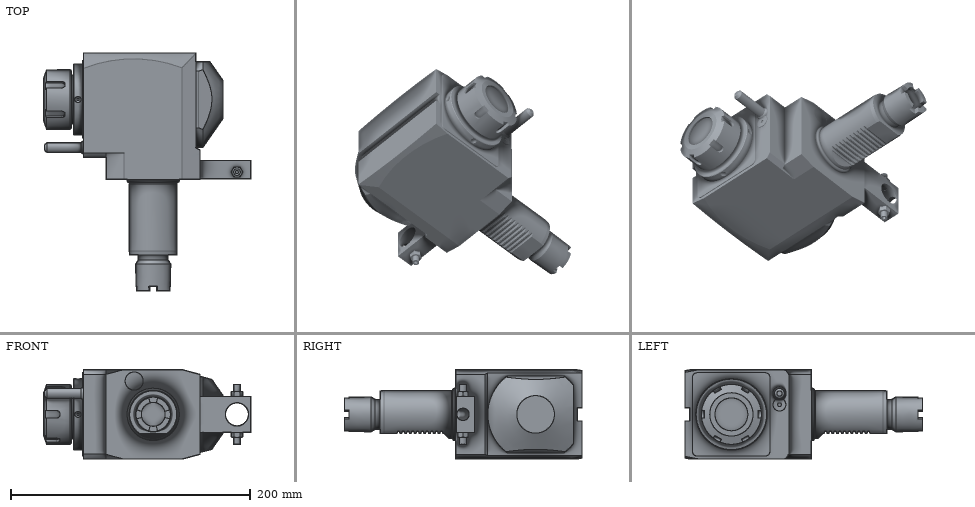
import cadquery as cq
import math


HEIGHT = 75.0
HALF_HEIGHT = HEIGHT / 2
LEFT_X = -58.3
HULL_LEFT_X = -39.5
HULL_RIGHT_X = 39.2
BACK_RIGHT_X = 35.6
BACK_Y = 105.9
PLATE_FRONT_Y = 18.5
STEP_LOW_Y = 24.7
STEP_HIGH_Y = 26.5
SIDE_SLOPE = math.tan(math.radians(15))
SIDE_CHAMFER = 15.1
PLATE_CHAMFER_Y = 3.5
PLATE_CHAMFER_Z = 4.4
CROWN_X = -16.5
CROWN_Y = -12.5
CROWN_RADIUS = 113.5
CROWN_SLOPE = 0.2
NOTCH_DEPTH = 4
NOTCH_WIDTH = 10.7
PLUG_X = -16
PLUG_Z = 27.9
PLUG_RADIUS = 7.5
MARK_DEPTH = 0.2

SPINDLE_Y = 66.9
PAD_X = -59.1
PAD_HALF = 34.8
PAD_LOW_Y = 34.6
PAD_HIGH_Y = 99.5
PAD_CORNER = 4
FLANGE_X = -66.5
FLANGE_RADIUS = 29.8
FLANGE_EDGE = 0.4
NECK_RADIUS = 20.7
NUT_BACK_X = -68.3
NUT_FRONT_X = -91.5
NUT_RADIUS = 25.0
NUT_BACK_CHAMFER = 1.2
NUT_FACE_RADIUS = 18.1
NUT_CONE_LENGTH = 2.4
NUT_BORE_RADIUS = 13.7
NUT_BORE_DEPTH = 1.5
NUT_SLOTS = 6
NUT_SLOT_WIDTH = 6.4
NUT_SLOT_END_X = -77.8
NUT_LONG_SLOT_END_X = -73.6
NUT_FIRST_SLOT_ANGLE = 30
NUT_LONG_SLOT_ANGLES = (30, 330)
NUT_SLOT_FLOOR = 22.3
FLANGE_SCREWS = 4
SCREW_X = -62.9
SCREW_RADIUS = 2.5
SCREW_TIP_RADIUS = 1.0
SCREW_DEPTH = 1.5

NOZZLE_Y = 26.7
NOZZLE_Z = 17.5
NOZZLE_RADIUS = 4.2
NOZZLE_TIP_X = -91.0
NOZZLE_TIP_RADIUS = 2.2
BALL_RADIUS = 6.2
BALL_INSET = 2.5
COVER_Z = 8.2
COVER_RADIUS = 5.4
COVER_HEIGHT = 0.5
COVER_SOCKET = 3.5

CAP_RADIUS = 40.0
CAP_FACE_RADIUS = 15.7
CAP_EDGE_X = 41.5
CAP_FACE_X = 58.5
CAP_TOP_Y = 98.5
CAP_HALF_HEIGHT = 32.2
CAP_SLOPE_X = 37.8

COLLAR_RADIUS = 21.9
COLLAR_RIM = 0.8
COLLAR_LENGTH = 2.5
RELIEF_RADIUS = 19.9
RELIEF_END_Y = -3.5
SHANK_RADIUS = 20.0
SHANK_BAND_Y = -59.9
SHANK_END_Y = -63.0
SHANK_END_RADIUS = 19.7
STEM_RADIUS = 12.5
FLARE_Y = -67.3
HEAD_Y = -70.8
HEAD_RADIUS = 14.7
HEAD_TIP_RADIUS = 14.3
TIP_Y = -93.1
HEAD_BORE_RADIUS = 10
HEAD_BORE_DEPTH = 4
HEAD_SLOT_DEPTH = 3.8
HEAD_SLOTS = 4
HEAD_SLOT_ANGLE = 30
FLAT_Z = -16.1
FLAT_START_Y = -5.5
TEETH_ROOT_Z = -14.1
FIRST_ROOT_Y = -12
ROOT_PITCH = 4
ROOTS = 10
ROOT_FLOOR = 1.2
ROOT_MOUTH = 2.8

ARM_END_X = 81.5
ARM_LOW_Y = 0.5
ARM_HIGH_Y = 16
ARM_HALF_HEIGHT = 15.1
ARM_HOLE_X = 70.0
ARM_HOLE_RADIUS = 9.5
END_HOLE_RADIUS = 5.2
STUD_Y = 6.2
STUD_RADIUS = 2.8
STUD_TOP_Z = 25.0
STUD_SOCKET = 2.8
STUD_SOCKET_DEPTH = 3.0
STUD_RECESS_RADIUS = 2.4
STUD_RECESS_DEPTH = 0.4
STUD_NUT_SIZE = 9.8
STUD_NUT_TOP_Z = 19.3
STUD_NUT_CHAMFER = 0.5


def both_sides(solid):
    """The solid together with its mirror image below the XY plane."""
    return solid.union(solid.mirror("XY"))


def prism_x(points, start_x, end_x):
    """Extrude a (Y, Z) outline along X."""
    return cq.Workplane("YZ", origin=(start_x, 0, 0)).polyline(points).close().extrude(end_x - start_x)


def prism_y(points, start_y, end_y):
    """Extrude an (X, Z) outline along Y."""
    return cq.Workplane("XZ", origin=(0, start_y, 0)).polyline(points).close().extrude(start_y - end_y)


def disc_x(radius, start_x, end_x, y, z=0):
    """Cylinder along X."""
    return cq.Workplane("YZ", origin=(start_x, y, z)).circle(radius).extrude(end_x - start_x)


def turned_x(points, y, z=0):
    """Revolve an (X, radius) outline about an axis parallel to X."""
    return cq.Workplane("XY", origin=(0, y, z)).polyline(points).close().revolve(360, (0, 0, 0), (1, 0, 0))


def housing():
    outline = [
        (LEFT_X, BACK_Y), (LEFT_X, PLATE_FRONT_Y), (HULL_LEFT_X, PLATE_FRONT_Y), (HULL_LEFT_X, 0),
        (HULL_RIGHT_X, 0), (HULL_RIGHT_X, STEP_LOW_Y), (BACK_RIGHT_X, STEP_HIGH_Y), (BACK_RIGHT_X, BACK_Y),
    ]
    body = cq.Workplane("XY").polyline(outline).close().extrude(HALF_HEIGHT, both=True)

    crown_reach = 2 * CROWN_RADIUS
    crown_edge = HALF_HEIGHT - CROWN_SLOPE * (crown_reach - CROWN_RADIUS)
    crown_profile = [
        (0, 0), (crown_reach, 0), (crown_reach, crown_edge), (CROWN_RADIUS, HALF_HEIGHT), (0, HALF_HEIGHT),
    ]
    crown = (
        cq.Workplane("XZ", origin=(CROWN_X, CROWN_Y, 0))
        .polyline(crown_profile).close().revolve(360, (0, 0, 0), (0, 1, 0))
    )
    body = body.intersect(both_sides(crown))

    side_drop = SIDE_CHAMFER * SIDE_SLOPE
    plate_chamfer_end = PLATE_FRONT_Y + PLATE_CHAMFER_Y
    right_side = [
        (HULL_RIGHT_X - SIDE_CHAMFER, HALF_HEIGHT), (HULL_RIGHT_X, HALF_HEIGHT),
        (HULL_RIGHT_X, HALF_HEIGHT - side_drop),
    ]
    left_side = [
        (HULL_LEFT_X + SIDE_CHAMFER, HALF_HEIGHT), (HULL_LEFT_X, HALF_HEIGHT),
        (HULL_LEFT_X, HALF_HEIGHT - side_drop),
    ]
    body = body.cut(both_sides(prism_y(right_side, 0, BACK_Y)))
    body = body.cut(both_sides(prism_y(left_side, 0, plate_chamfer_end)))

    plate_edge = [
        (PLATE_FRONT_Y, HALF_HEIGHT), (plate_chamfer_end, HALF_HEIGHT),
        (PLATE_FRONT_Y, HALF_HEIGHT - PLATE_CHAMFER_Z),
    ]
    body = body.cut(both_sides(prism_x(plate_edge, LEFT_X, HULL_LEFT_X)))

    length = HULL_RIGHT_X - LEFT_X
    notch = cq.Workplane("XY").box(length, NOTCH_DEPTH, NOTCH_WIDTH, centered=(False, False, True))
    body = body.cut(notch.translate((LEFT_X, BACK_Y - NOTCH_DEPTH, 0)))
    plug = cq.Workplane("XZ", origin=(PLUG_X, MARK_DEPTH, PLUG_Z)).circle(PLUG_RADIUS).extrude(MARK_DEPTH)
    return body.cut(plug)


def nut_slot(end_x):
    """Slot on the upper side of a nut whose axis is the X axis."""
    center_x = end_x - NUT_SLOT_WIDTH / 2
    length = 2 * (center_x - NUT_FRONT_X) + NUT_SLOT_WIDTH
    return (
        cq.Workplane("XY", origin=(NUT_FRONT_X, 0, NUT_SLOT_FLOOR))
        .slot2D(length, NUT_SLOT_WIDTH).extrude(NUT_RADIUS - NUT_SLOT_FLOOR)
    )


def spindle():
    pad = (
        cq.Workplane("XY").box(LEFT_X - PAD_X, PAD_HIGH_Y - PAD_LOW_Y, 2 * PAD_HALF)
        .edges("|X").fillet(PAD_CORNER)
        .translate(((PAD_X + LEFT_X) / 2, (PAD_LOW_Y + PAD_HIGH_Y) / 2, 0))
    )
    nut_cone_x = NUT_FRONT_X + NUT_CONE_LENGTH
    bore_x = NUT_FRONT_X + NUT_BORE_DEPTH
    turned = turned_x([
        (PAD_X, 0), (PAD_X, FLANGE_RADIUS), (FLANGE_X + FLANGE_EDGE, FLANGE_RADIUS),
        (FLANGE_X, FLANGE_RADIUS - FLANGE_EDGE), (FLANGE_X, NECK_RADIUS), (NUT_BACK_X, NECK_RADIUS),
        (NUT_BACK_X, NUT_RADIUS - NUT_BACK_CHAMFER), (NUT_BACK_X - NUT_BACK_CHAMFER, NUT_RADIUS),
        (nut_cone_x, NUT_RADIUS), (NUT_FRONT_X, NUT_FACE_RADIUS), (NUT_FRONT_X, NUT_BORE_RADIUS),
        (bore_x, NUT_BORE_RADIUS), (bore_x, 0),
    ], SPINDLE_Y)

    for i in range(NUT_SLOTS):
        angle = NUT_FIRST_SLOT_ANGLE + i * 360 / NUT_SLOTS
        is_long = angle in NUT_LONG_SLOT_ANGLES
        slot = nut_slot(NUT_LONG_SLOT_END_X if is_long else NUT_SLOT_END_X)
        turned = turned.cut(slot.rotate((0, 0, 0), (1, 0, 0), angle).translate((0, SPINDLE_Y, 0)))

    screw = cq.Workplane(
        cq.Solid.makeCone(
            SCREW_TIP_RADIUS, SCREW_RADIUS, SCREW_DEPTH, cq.Vector(SCREW_X, 0, FLANGE_RADIUS - SCREW_DEPTH)
        )
    )
    for i in range(FLANGE_SCREWS):
        angle = i * 360 / FLANGE_SCREWS
        turned = turned.cut(screw.rotate((0, 0, 0), (1, 0, 0), angle).translate((0, SPINDLE_Y, 0)))
    return pad.union(turned)


def nozzle():
    cone_length = NOZZLE_RADIUS - NOZZLE_TIP_RADIUS
    tube = turned_x([
        (LEFT_X, 0), (LEFT_X, NOZZLE_RADIUS), (NOZZLE_TIP_X + cone_length, NOZZLE_RADIUS),
        (NOZZLE_TIP_X, NOZZLE_TIP_RADIUS), (NOZZLE_TIP_X, 0),
    ], NOZZLE_Y, NOZZLE_Z)
    ball = cq.Workplane("XY").sphere(BALL_RADIUS).translate((LEFT_X + BALL_INSET, NOZZLE_Y, NOZZLE_Z))
    return tube.union(ball)


def cover_screw():
    head_x = LEFT_X - COVER_HEIGHT
    head = disc_x(COVER_RADIUS, head_x, LEFT_X, NOZZLE_Y, COVER_Z)
    socket = (
        cq.Workplane("YZ", origin=(head_x, NOZZLE_Y, COVER_Z))
        .polygon(6, COVER_SOCKET).extrude(COVER_HEIGHT)
    )
    return head.cut(socket)


def rear_cap():
    cap = turned_x([
        (BACK_RIGHT_X, 0), (BACK_RIGHT_X, CAP_RADIUS), (CAP_EDGE_X, CAP_RADIUS),
        (CAP_FACE_X, CAP_FACE_RADIUS), (CAP_FACE_X, 0),
    ], SPINDLE_Y)
    face_half_height = CAP_HALF_HEIGHT - (CAP_FACE_X - CAP_SLOPE_X) * SIDE_SLOPE
    upper = [(BACK_RIGHT_X, CAP_HALF_HEIGHT), (CAP_SLOPE_X, CAP_HALF_HEIGHT), (CAP_FACE_X, face_half_height)]
    lower = [(x, -z) for x, z in reversed(upper)]
    return cap.intersect(prism_y(upper + lower, 0, CAP_TOP_Y))


def shank():
    bore_y = TIP_Y + HEAD_BORE_DEPTH
    body = (
        cq.Workplane("XY").lineTo(COLLAR_RADIUS, 0).lineTo(COLLAR_RADIUS, -COLLAR_RIM)
        .tangentArcPoint((RELIEF_RADIUS, -COLLAR_LENGTH), relative=False)
        .lineTo(RELIEF_RADIUS, RELIEF_END_Y).lineTo(SHANK_RADIUS, RELIEF_END_Y)
        .lineTo(SHANK_RADIUS, SHANK_BAND_Y).lineTo(SHANK_END_RADIUS, SHANK_END_Y)
        .lineTo(STEM_RADIUS, SHANK_END_Y).lineTo(STEM_RADIUS, FLARE_Y)
        .lineTo(HEAD_RADIUS, HEAD_Y).lineTo(HEAD_TIP_RADIUS, TIP_Y)
        .lineTo(HEAD_BORE_RADIUS, TIP_Y).lineTo(HEAD_BORE_RADIUS, bore_y).lineTo(0, bore_y)
        .close().revolve(360, (0, 0, 0), (0, 1, 0))
    )

    ramp_end_y = FLAT_START_Y - (SHANK_RADIUS + FLAT_Z)
    flat = [
        (FLAT_START_Y, -SHANK_RADIUS), (ramp_end_y, FLAT_Z),
        (SHANK_END_Y, FLAT_Z), (SHANK_END_Y, -SHANK_RADIUS),
    ]
    body = body.cut(prism_x(flat, -SHANK_RADIUS, SHANK_RADIUS))
    for i in range(ROOTS):
        y = FIRST_ROOT_Y - i * ROOT_PITCH
        groove = [
            (y - ROOT_FLOOR / 2, TEETH_ROOT_Z), (y + ROOT_FLOOR / 2, TEETH_ROOT_Z),
            (y + ROOT_MOUTH / 2, FLAT_Z), (y - ROOT_MOUTH / 2, FLAT_Z),
        ]
        body = body.cut(prism_x(groove, -SHANK_RADIUS, SHANK_RADIUS))

    half_width = 2 * HEAD_RADIUS * math.tan(math.radians(HEAD_SLOT_ANGLE / 2))
    sector = [(0, 0), (2 * HEAD_RADIUS, half_width), (2 * HEAD_RADIUS, -half_width)]
    slot = prism_y(sector, TIP_Y, TIP_Y + HEAD_SLOT_DEPTH)
    for i in range(HEAD_SLOTS):
        body = body.cut(slot.rotate((0, 0, 0), (0, 1, 0), i * 360 / HEAD_SLOTS))
    return body


def stud_and_nut():
    nut_height = STUD_NUT_TOP_Z - ARM_HALF_HEIGHT
    base = cq.Workplane("XY", origin=(ARM_HOLE_X, STUD_Y, ARM_HALF_HEIGHT))
    rounding = base.circle(STUD_NUT_SIZE / 2).extrude(nut_height).faces(">Z").chamfer(STUD_NUT_CHAMFER)
    nut = base.polygon(6, STUD_NUT_SIZE).extrude(nut_height).intersect(rounding)
    stud = base.circle(STUD_RADIUS).extrude(STUD_TOP_Z - ARM_HALF_HEIGHT)
    socket = (
        cq.Workplane("XY", origin=(ARM_HOLE_X, STUD_Y, STUD_TOP_Z - STUD_SOCKET_DEPTH))
        .polygon(6, STUD_SOCKET).extrude(STUD_SOCKET_DEPTH)
    )
    return nut.union(stud).cut(socket)


def arm():
    length = ARM_END_X - HULL_RIGHT_X
    thickness = ARM_HIGH_Y - ARM_LOW_Y
    bar = (
        cq.Workplane("XY")
        .box(length, thickness, 2 * ARM_HALF_HEIGHT, centered=(False, False, True))
        .translate((HULL_RIGHT_X, ARM_LOW_Y, 0))
    )
    hole = cq.Workplane("XZ", origin=(ARM_HOLE_X, 0, 0)).circle(ARM_HOLE_RADIUS).extrude(-ARM_HIGH_Y)
    end_hole = disc_x(END_HOLE_RADIUS, ARM_HOLE_X, ARM_END_X, STUD_Y)
    recess = (
        cq.Workplane("XY", origin=(ARM_HOLE_X, STUD_Y, 0))
        .circle(STUD_RECESS_RADIUS).extrude(ARM_HOLE_RADIUS + STUD_RECESS_DEPTH, both=True)
    )
    return bar.cut(hole).cut(end_hole).cut(recess).union(both_sides(stud_and_nut()))


result = housing()
for feature in (spindle(), nozzle(), cover_screw(), rear_cap(), shank(), arm()):
    result = result.union(feature)